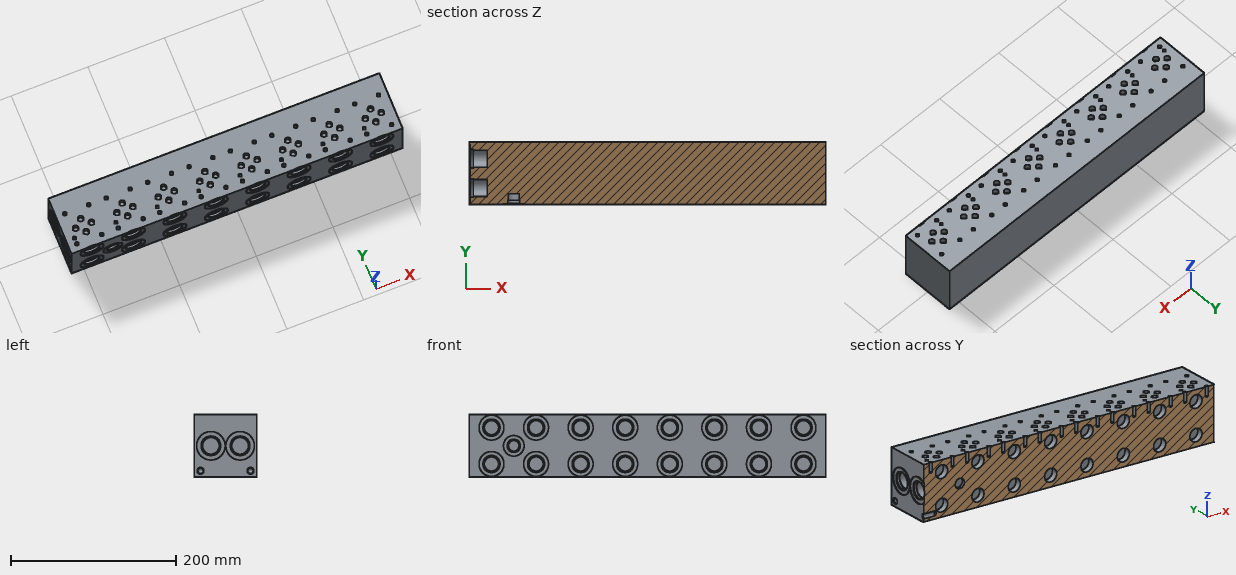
import cadquery as cq
import math

length = 432.0
section = 76.0
left_face = -length / 2
front_face = -section / 2
top_face = section / 2
bottom_face = -section / 2

inward = (0, 1, 0)
down = (0, 0, -1)
along = (1, 0, 0)

drill_point_angle = 118

station_count = 8
station_pitch = length / station_count
station_xs = [left_face + (i + 0.5) * station_pitch for i in range(station_count)]

spot_depth = 1.0
counterbore_depth = 4.5
work_port = dict(spot=30.2, mouth=20.7, counterbore=19.0, bore=17.3, depth=17.5)
gauge_port = dict(spot=25.0, mouth=16.0, counterbore=14.2, bore=13.0, depth=13.0)
end_port = dict(spot=34.5, mouth=23.7, counterbore=22.0, bore=20.5, depth=21.5)
work_port_height = 22.0
end_port_offset = 17.5

flow_diameter = 7.5
flow_depth = 7.8
flow_side_offset = 10.5
flow_ys = dict(rear=37.5, middle=28.5, front=20.0)
bolt_thread = 3.65
bolt_mouth = 4.7
bolt_depth = 13.0
rear_bolt_y = 50.5
rear_bolt_offset = 15.5
front_bolt_y = 9.5
front_bolt_offset = 16.2
pin_diameter = 4.0
pin_depth = 4.5
pin_y = 17.5

end_bolt_thread = 6.5
end_bolt_mouth = 8.0
end_bolt_depth = 17.3
end_bolt_inset = 7.8


def drill(point, direction, diameter, depth):
    """Cylinder that starts at a point on a face and runs into the block."""
    body = cq.Solid.makeCylinder(diameter / 2, depth, cq.Vector(*point), cq.Vector(*direction))
    return cq.Workplane(body)


def taper(point, direction, start_diameter, end_diameter, depth):
    """Cone that starts at a point and narrows along the direction."""
    radii = (start_diameter / 2, end_diameter / 2)
    body = cq.Solid.makeCone(*radii, depth, cq.Vector(*point), cq.Vector(*direction))
    return cq.Workplane(body)


def advance(point, direction, distance):
    """Point moved along a direction."""
    return tuple(p + distance * d for p, d in zip(point, direction))


def countersunk(point, direction, mouth, bore, depth):
    """Bore with a 45 degree chamfer at its mouth."""
    chamfer = (mouth - bore) / 2
    return drill(point, direction, bore, depth).union(taper(point, direction, mouth, bore, chamfer))


def bolt_hole(point, direction, mouth, bore, depth):
    """Countersunk bore that ends in a drill point."""
    tip_depth = bore / 2 / math.tan(math.radians(drill_point_angle / 2))
    tip = taper(advance(point, direction, depth), direction, bore, 0, tip_depth)
    return countersunk(point, direction, mouth, bore, depth).union(tip)


def port(point, direction, spot, mouth, counterbore, bore, depth):
    """Stepped bore at the bottom of a shallow spot face."""
    seat = advance(point, direction, spot_depth)
    hole = drill(point, direction, bore, depth)
    hole = hole.union(countersunk(seat, direction, mouth, counterbore, counterbore_depth))
    return hole.union(drill(point, direction, spot, spot_depth))


def valve_station(x):
    """All the holes of one valve station."""
    def on_top(dx, y):
        return (x + dx, front_face + y, top_face)

    cutters = []
    for z in (-work_port_height, work_port_height):
        cutters.append(port((x, front_face, z), inward, **work_port))
    flow_places = [(0, flow_ys["rear"]), (0, flow_ys["front"])]
    flow_places += [(side * flow_side_offset, flow_ys["middle"]) for side in (-1, 1)]
    for dx, y in flow_places:
        cutters.append(drill(on_top(dx, y), down, flow_diameter, flow_depth))
    for offset, y in ((rear_bolt_offset, rear_bolt_y), (front_bolt_offset, front_bolt_y)):
        for side in (-1, 1):
            cutters.append(bolt_hole(on_top(side * offset, y), down, bolt_mouth, bolt_thread, bolt_depth))
    cutters.append(drill(on_top(-front_bolt_offset, pin_y), down, pin_diameter, pin_depth))
    return cutters


def end_face():
    """Ports and mounting holes in the -X end."""
    cutters = []
    for side in (-1, 1):
        port_point = (left_face, side * end_port_offset, 0)
        cutters.append(port(port_point, along, **end_port))
        bolt_y = side * (section / 2 - end_bolt_inset)
        bolt_point = (left_face, bolt_y, bottom_face + end_bolt_inset)
        cutters.append(bolt_hole(bolt_point, along, end_bolt_mouth, end_bolt_thread, end_bolt_depth))
    return cutters


result = cq.Workplane("XY").box(length, section, section)
gauge_point = (left_face + station_pitch, front_face, 0)
cutters = end_face() + [port(gauge_point, inward, **gauge_port)]
for x in station_xs:
    cutters += valve_station(x)
for cutter in cutters:
    result = result.cut(cutter)